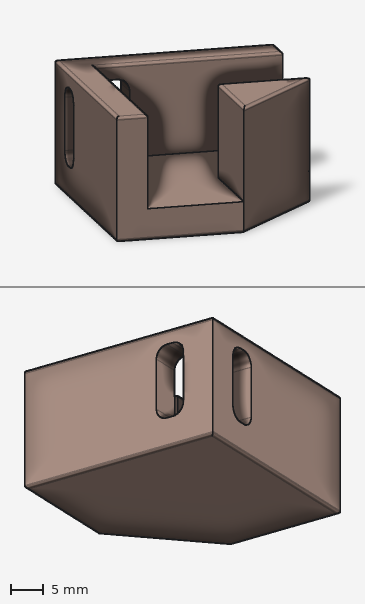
import cadquery as cq

side = 35.0
height = 20.0
wall_thickness = 5.0
floor_thickness = 5.0
post_leg = 14.66
edge_radius = 0.5

slot_width = 5.0
slot_height = 12.5
slot_bottom = floor_thickness
slot_offset = 5.5
slot_corner_radius = 2.0

post_corner = side - post_leg
slot_across = slot_offset + slot_width / 2
slot_middle_z = slot_bottom + slot_height / 2


def make_block():
    """Full-height block with the far corner cut off along the long side of the post."""
    outline = [
        (0, 0),
        (side, 0),
        (side, post_corner),
        (post_corner, side),
        (0, side),
    ]
    return cq.Workplane("XY").polyline(outline).close().extrude(height)


def make_recess():
    """L-shaped space between the two walls and the post, open at both far sides."""
    outline = [
        (wall_thickness, wall_thickness),
        (side, wall_thickness),
        (side, post_corner),
        (post_corner, post_corner),
        (post_corner, side),
        (wall_thickness, side),
    ]
    floor_top = cq.Workplane("XY").workplane(offset=floor_thickness)
    return floor_top.polyline(outline).close().extrude(height - floor_thickness)


def make_slot_through_x_wall():
    """Upright rounded slot through the wall that runs along X."""
    cutter = cq.Workplane("XY").box(slot_width, wall_thickness, slot_height)
    cutter = cutter.edges("|Y").fillet(slot_corner_radius)
    return cutter.translate((slot_across, wall_thickness / 2, slot_middle_z))


def make_slot_through_y_wall():
    """The same upright slot through the wall that runs along Y."""
    cutter = cq.Workplane("XY").box(wall_thickness, slot_width, slot_height)
    cutter = cutter.edges("|X").fillet(slot_corner_radius)
    return cutter.translate((wall_thickness / 2, slot_across, slot_middle_z))


bracket = make_block().cut(make_recess())

bracket = bracket.faces("<Z").edges().fillet(edge_radius)
bracket = bracket.faces(">Z").edges().fillet(edge_radius)

result = bracket.cut(make_slot_through_x_wall()).cut(make_slot_through_y_wall())